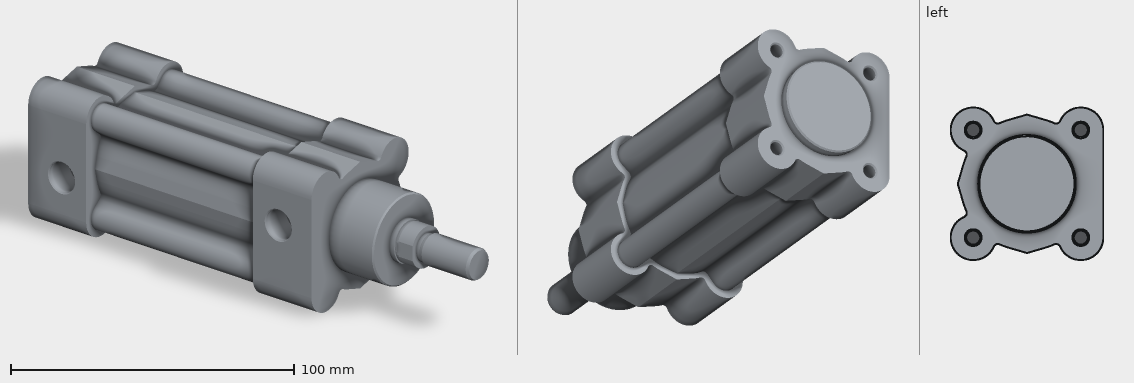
import cadquery as cq
import math


rear_cap_start = 4.1
rear_cap_end = 30.6
front_cap_start = 106.8
front_cap_end = 133.7
front_boss_end = 153.8
collar_end = 156.0
flat_start = 156.5
shank_start = 157.2
shank_end = 163.7
thread_start = 165.3
total_length = 188.0

cap_size = 54.0
corner_offset = 19.0
cap_corner_radius = cap_size / 2 - corner_offset
cap_wall_radius = 23.5
cap_roof_half_width = 6.5
cap_valley_radius = 1.5

barrel_corner_radius = 5.3
barrel_wall_radius = 21.6
barrel_roof_half_width = 4.7
barrel_valley_radius = 1.9
barrel_flank_tilt = math.radians(40)

boss_radius = 17.3
boss_chamfer = 0.5
collar_radius = 8.3

bolt_hole_radius = 2.5
bolt_hole_depth = 15.0
bolt_hole_chamfer = 0.5
port_radius = 5.8
port_depth = 11.3
port_chamfer = 0.4
port_offset = 4.9
rear_port_x = 19.4
front_port_x = 118.5

shank_radius = 7.9
relief_radius = 7.7
neck_radius = 5.5
thread_radius = 6.0
thread_start_chamfer = 1.5
thread_end_chamfer = 1.1
thread_tip_radius = 5.5
wrench_flat_offset = 7.3


def along(start, end, distance):
    """Point at a given distance from start, on the ray towards end."""
    span = math.dist(start, end)
    return tuple(a + (b - a) * distance / span for a, b in zip(start, end))


def arc_middle(center, radius, start, end):
    """Middle point of the shorter arc between two points of a circle."""
    chord_middle = tuple((a + b) / 2 for a, b in zip(start, end))
    return along(center, chord_middle, radius)


def swap(point):
    """Mirror a point across the diagonal through the corner lobe."""
    return point[1], point[0]


def quarter_turned(point, quarters):
    """Turn a point clockwise about the axis by a number of right angles."""
    for _ in range(quarters):
        point = (point[1], -point[0])
    return point


def section(wall_radius, roof_half_width, valley_center, valley_radius, flank, corner_radius):
    """Four-lobed outline: each side has a peaked roof, a round shoulder and a valley to each lobe.

    The flank is the list of points from the end of the valley to the start of the lobe arc.
    """
    center = (0.0, 0.0)
    lobe_center = (corner_offset, corner_offset)
    roof_angle = math.asin(roof_half_width / wall_radius)
    roof_peak = (0.0, wall_radius / math.cos(roof_angle))
    roof_end = (roof_half_width, wall_radius * math.cos(roof_angle))
    shoulder_end = along(center, valley_center, wall_radius)
    shoulder_middle = arc_middle(center, wall_radius, roof_end, shoulder_end)
    valley_middle = arc_middle(valley_center, valley_radius, shoulder_end, flank[0])
    lobe_tip = along(lobe_center, (2 * corner_offset, 2 * corner_offset), corner_radius)

    steps = [(roof_end,), (shoulder_middle, shoulder_end), (valley_middle, flank[0])]
    steps += [(point,) for point in flank[1:]]
    steps += [(lobe_tip, swap(flank[-1]))]
    steps += [(swap(point),) for point in reversed(flank[:-1])]
    steps += [
        (swap(valley_middle), swap(shoulder_end)),
        (swap(shoulder_middle), swap(roof_end)),
        (swap(roof_peak),),
    ]

    outline = cq.Workplane("YZ").moveTo(*roof_peak)
    for quarter in range(4):
        for step in steps:
            points = [quarter_turned(point, quarter) for point in step]
            if len(points) == 1:
                outline = outline.lineTo(*points[0])
            else:
                outline = outline.threePointArc(*points)
    return outline.close()


def cap_section():
    """Cap outline: the valley fillet touches the wall circle and the corner lobe directly."""
    lobe_center = (corner_offset, corner_offset)
    lobe_distance = math.hypot(*lobe_center)
    to_wall = cap_wall_radius + cap_valley_radius
    to_lobe = cap_corner_radius + cap_valley_radius
    cos_turn = (to_wall**2 + lobe_distance**2 - to_lobe**2) / (2 * to_wall * lobe_distance)
    angle = math.pi / 4 + math.acos(cos_turn)
    valley_center = (to_wall * math.cos(angle), to_wall * math.sin(angle))
    flank = [along(lobe_center, valley_center, cap_corner_radius)]
    return section(
        cap_wall_radius, cap_roof_half_width, valley_center, cap_valley_radius, flank, cap_corner_radius
    )


def barrel_section():
    """Barrel outline: a straight flank joins the valley fillet to the corner lobe."""
    normal = (-math.cos(barrel_flank_tilt), math.sin(barrel_flank_tilt))
    lobe_along_normal = corner_offset * (normal[0] + normal[1])
    across = lobe_along_normal + barrel_corner_radius + barrel_valley_radius
    rise = math.sqrt((barrel_wall_radius + barrel_valley_radius)**2 - across**2)
    valley_center = (
        across * normal[0] + rise * normal[1],
        across * normal[1] - rise * normal[0],
    )
    flank = [
        tuple(c - barrel_valley_radius * n for c, n in zip(valley_center, normal)),
        tuple(corner_offset + barrel_corner_radius * n for n in normal),
    ]
    return section(
        barrel_wall_radius, barrel_roof_half_width, valley_center, barrel_valley_radius, flank,
        barrel_corner_radius,
    )


def disc(start, end, radius):
    """Round bar on the cylinder axis."""
    return cq.Workplane("YZ", origin=(start, 0, 0)).circle(radius).extrude(end - start)


def chamfered_drill(origin, direction, radius, depth, chamfer):
    """Cutter for a blind hole with a chamfered mouth at the origin."""
    hole = cq.Solid.makeCylinder(radius, depth, origin, direction)
    mouth = cq.Solid.makeCone(radius + chamfer, radius, chamfer, origin, direction)
    return cq.Workplane(obj=hole).union(cq.Workplane(obj=mouth))


def make_cap_block(start, end, port_x, port_z):
    """Cap block: lobed on three sides, flat on the -Y side where the port enters."""
    length = end - start
    block = cap_section().extrude(length).translate((start, 0, 0))
    flat_side = cq.Workplane("XY").box(
        length, cap_corner_radius, 2 * corner_offset, centered=(False, False, True)
    ).translate((start, -cap_size / 2, 0))
    port = chamfered_drill(
        cq.Vector(port_x, -cap_size / 2, port_z), cq.Vector(0, 1, 0), port_radius, port_depth, port_chamfer
    )
    return block.union(flat_side).cut(port)


def make_rear_cap():
    cap = make_cap_block(rear_cap_start, rear_cap_end, rear_port_x, -port_offset)
    boss = disc(0, rear_cap_start, boss_radius).faces("<X").chamfer(boss_chamfer)
    cap = cap.union(boss)
    for y in (-corner_offset, corner_offset):
        for z in (-corner_offset, corner_offset):
            cap = cap.cut(chamfered_drill(
                cq.Vector(rear_cap_start, y, z), cq.Vector(1, 0, 0),
                bolt_hole_radius, bolt_hole_depth, bolt_hole_chamfer,
            ))
    return cap


def make_barrel():
    return barrel_section().extrude(front_cap_start - rear_cap_end).translate((rear_cap_end, 0, 0))


def make_front_cap():
    cap = make_cap_block(front_cap_start, front_cap_end, front_port_x, port_offset)
    boss = disc(front_cap_end, front_boss_end, boss_radius).faces(">X").chamfer(boss_chamfer)
    collar = disc(front_boss_end, collar_end, collar_radius)
    rod_bore = disc(front_cap_start, collar_end, relief_radius)
    return cap.union(boss).union(collar).cut(rod_bore)


def make_rod():
    """Turned rod running from the barrel through the front cap, with two wrench flats."""
    profile = [
        (front_cap_start, 0),
        (front_cap_start, relief_radius),
        (shank_start, relief_radius),
        (shank_start, shank_radius),
        (shank_end, shank_radius),
        (shank_end, neck_radius),
        (thread_start, neck_radius),
        (thread_start + thread_start_chamfer, thread_radius),
        (total_length - thread_end_chamfer, thread_radius),
        (total_length, thread_tip_radius),
        (total_length, 0),
    ]
    rod = cq.Workplane("XY").polyline(profile).close().revolve(360, (0, 0, 0), (1, 0, 0))
    flat_length = shank_end - flat_start
    for side in (-1, 1):
        flat = cq.Workplane("XY").box(
            flat_length, shank_radius, 2 * shank_radius, centered=(False, True, True)
        ).translate((flat_start, side * (wrench_flat_offset + shank_radius / 2), 0))
        rod = rod.cut(flat)
    return rod


rear_cap = make_rear_cap()
barrel = make_barrel()
front_cap = make_front_cap()
rod = make_rod()

result = cq.Compound.makeCompound([rear_cap.val(), barrel.val(), front_cap.val(), rod.val()])